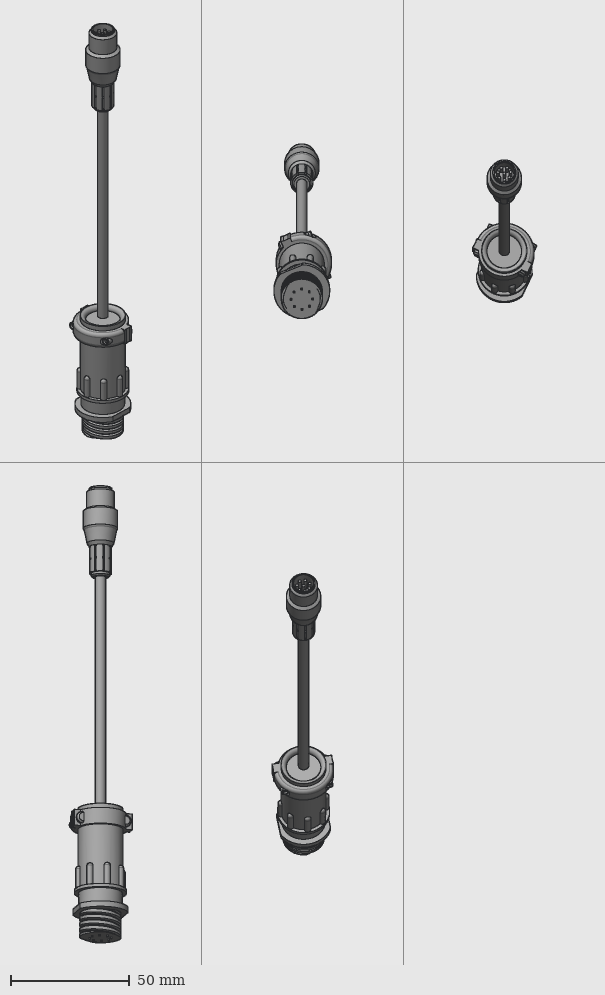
import cadquery as cq
import math

total_height = 196.8
shell_base = 0.5
flange_base = 11.0
flange_top = 13.4
collar_base = 19.9
collar_top = 21.3
rib_top = 31.0
clamp_base = 47.6
clamp_top = 54.5
rim_top = 56.7
well_floor = 54.5
cable_end = 56.3

housing_radius = 9.55
neck_radius = 9.3
collar_radius = 11.0
flange_radius = 11.8
flange_half_width = 10.6
well_radius = 7.3
well_lip_radius = 2.0

thread_radius = 8.75
thread_pitch = 2.46
thread_starts = 2
thread_depth = 1.0
thread_crest_width = 1.4
thread_root_width = 2.2
thread_sink = 0.1
first_thread_angle = 37.0

rib_count = 8
rib_radius = 1.4
rib_top_fillet = 1.28

housing_pin_count = 8
housing_pin_diameter = 0.8
housing_pin_circle = 4.5

clamp_front_radius = 12.5
clamp_back_radius = 10.8
clamp_fillet = 1.5
ear_reach = 12.8
ear_front = -0.2
ear_back = 4.1
ear_gap_front = 0.8
ear_gap_back = 3.0
ear_gap_depth = 0.1
screw_offset = 9.5
screw_height = (clamp_base + clamp_top) / 2
screw_head_diameter = 3.3
screw_head_front = -8.7
screw_socket_diameter = 2.4
screw_socket_depth = 1.0
nut_diameter = 5.1
nut_back = 6.0
nut_chamfer = 0.8

cable_diameter = 4.5

plug_base = 158.0
tip_radius = 5.0
tip_chamfer = 0.2
tip_base = 196.0
sleeve_radius = 6.0
sleeve_chamfer_base = 195.0
sleeve_base = 187.8
grip_radius = 7.3
grip_top = 186.8
grip_base = 179.3
cone_top = 178.5
cone_top_radius = 6.9
cone_base = 172.8
cone_base_radius = 5.7
boot_top = 171.3
boot_radius = 4.7
boot_base = 159.6
boot_end_radius = 4.0
boot_end_step = 0.5

boot_slot_count = 8
boot_slot_width = 0.8
boot_slot_depth = 1.0
boot_slot_spans = [(160.0, 165.5), (166.0, 171.0)]

socket_diameter = 8.5
socket_depth = 7.9
contact_diameter = 1.28
contact_length = 6.0
contact_circle = 2.8
outer_contact_count = 7


def cylinder(radius, base, top):
    """A vertical cylinder on the cable axis."""
    return cq.Workplane("XY").workplane(offset=base).circle(radius).extrude(top - base)


def polar_points(radius, count, first_angle=0.0):
    """Points evenly spaced around the cable axis."""
    angles = [math.radians(first_angle + 360.0 * i / count) for i in range(count)]
    return [(radius * math.cos(a), radius * math.sin(a)) for a in angles]


def y_cylinder(x, z, diameter, front, back):
    """A cylinder lying along Y."""
    return (
        cq.Workplane("XZ", origin=(x, front, z)).circle(diameter / 2).extrude(front - back)
    )


def thread_ridge(start_angle):
    """One left-handed helical ridge of the housing's multi-start thread, sunk a little into the core."""
    lead = thread_pitch * thread_starts
    helix_base = shell_base - lead / 2
    helix_height = flange_base - shell_base + lead
    root_radius = thread_radius - thread_depth - thread_sink
    helix = cq.Wire.makeHelix(lead, helix_height, root_radius, lefthand=True)
    ridge = (
        cq.Workplane("XZ")
        .polyline([
            (root_radius, thread_root_width / 2),
            (thread_radius, thread_crest_width / 2),
            (thread_radius, -thread_crest_width / 2),
            (root_radius, -thread_root_width / 2),
        ])
        .close()
        .sweep(cq.Workplane(helix), isFrenet=True)
        .rotate((0, 0, 0), (0, 0, 1), start_angle)
        .translate((0, 0, helix_base))
    )
    return ridge.intersect(cylinder(flange_radius, shell_base, flange_base))


def threaded_end():
    """Threaded lower end of the housing."""
    end = cylinder(thread_radius - thread_depth, shell_base, flange_base)
    for start in range(thread_starts):
        end = end.union(thread_ridge(first_thread_angle + 360.0 * start / thread_starts))
    return end


def flange():
    """Round flange with two flats across X."""
    flats = cq.Workplane("XY").box(2 * flange_half_width, 2 * flange_radius, 2 * total_height)
    return cylinder(flange_radius, flange_base, flange_top).intersect(flats)


def grip_ribs():
    """Dome-topped round grip ribs, half sunk into the housing."""
    rib = cylinder(rib_radius, collar_base, rib_top).faces(">Z").edges().fillet(rib_top_fillet)
    ribs = cq.Workplane("XY")
    for x, y in polar_points(housing_radius, rib_count):
        ribs = ribs.add(rib.translate((x, y, 0)))
    return ribs.combine()


def cable_clamp():
    """Two-part clamp: a wide front half, a thin back half and screwed ears at +X and -X."""
    front_half_space = cq.Workplane("XY").box(
        4 * ear_reach, 2 * ear_reach, 2 * total_height
    ).translate((0, ear_front - ear_reach, 0))
    clamp = (
        cylinder(clamp_front_radius, clamp_base, clamp_top)
        .edges()
        .fillet(clamp_fillet)
        .intersect(front_half_space)
        .union(cylinder(clamp_back_radius, clamp_base, clamp_top))
    )
    ears = (
        cq.Workplane("XY")
        .box(2 * ear_reach, ear_back - ear_front, clamp_top - clamp_base)
        .translate((0, (ear_front + ear_back) / 2, screw_height))
    )
    clamp = clamp.union(ears)
    for x in (-ear_reach, ear_reach):
        gap = (
            cq.Workplane("XY")
            .box(2 * ear_gap_depth, ear_gap_back - ear_gap_front, 2 * clamp_top)
            .translate((x, (ear_gap_front + ear_gap_back) / 2, screw_height))
        )
        clamp = clamp.cut(gap)
    for x in (-screw_offset, screw_offset):
        nut = y_cylinder(x, screw_height, nut_diameter, ear_front, nut_back)
        clamp = clamp.union(nut.faces(">Y").chamfer(nut_chamfer))
        recess = y_cylinder(x, screw_height, screw_head_diameter, -clamp_front_radius, screw_head_front)
        head = y_cylinder(x, screw_height, screw_head_diameter, screw_head_front, ear_front)
        socket_end = screw_head_front + screw_socket_depth
        socket = y_cylinder(x, screw_height, screw_socket_diameter, screw_head_front, socket_end)
        clamp = clamp.cut(recess).union(head).cut(socket)
    return clamp


def cable_well():
    """Round-lipped well in the top of the housing."""
    lip_outer = well_radius + well_lip_radius
    lip_middle = lip_outer - well_lip_radius * math.sin(math.radians(45))
    lip_middle_z = rim_top - well_lip_radius * (1 - math.cos(math.radians(45)))
    return (
        cq.Workplane("XZ")
        .moveTo(0, well_floor)
        .lineTo(well_radius, well_floor)
        .lineTo(well_radius, rim_top - well_lip_radius)
        .threePointArc((lip_middle, lip_middle_z), (lip_outer, rim_top))
        .lineTo(0, rim_top)
        .close()
        .revolve()
    )


def housing_pins():
    """Contact pins standing out of the housing's lower end."""
    return (
        cq.Workplane("XY")
        .pushPoints(polar_points(housing_pin_circle, housing_pin_count, 180.0 / housing_pin_count))
        .circle(housing_pin_diameter / 2)
        .extrude(flange_base)
    )


def make_housing():
    return (
        threaded_end()
        .union(flange())
        .union(cylinder(neck_radius, flange_base, collar_base))
        .union(cylinder(collar_radius, collar_base, collar_top))
        .union(cylinder(housing_radius, collar_base, rim_top))
        .union(grip_ribs())
        .union(cable_clamp())
        .cut(cable_well())
        .union(housing_pins())
    )


def make_cable():
    return cylinder(cable_diameter / 2, cable_end, plug_base)


def boot_slots():
    """Flexing slots along the plug's strain-relief boot, in two rows."""
    slots = cq.Workplane("XY")
    for base, top in boot_slot_spans:
        for i in range(boot_slot_count):
            slot = (
                cq.Workplane("XY")
                .box(2 * boot_slot_depth, boot_slot_width, top - base)
                .translate((boot_radius, 0, (base + top) / 2))
                .rotate((0, 0, 0), (0, 0, 1), 360.0 * i / boot_slot_count)
            )
            slots = slots.add(slot)
    return slots.combine()


def contacts():
    """Contact pins inside the plug's socket: one in the middle and a ring around it."""
    return (
        cq.Workplane("XY")
        .workplane(offset=total_height - socket_depth)
        .pushPoints([(0, 0)] + polar_points(contact_circle, outer_contact_count, -90.0))
        .circle(contact_diameter / 2)
        .extrude(contact_length)
    )


def make_plug():
    body = (
        cq.Workplane("XZ")
        .polyline([
            (0, plug_base),
            (boot_end_radius - boot_end_step, plug_base),
            (boot_end_radius, plug_base + boot_end_step),
            (boot_end_radius, boot_base),
            (boot_radius, boot_base),
            (boot_radius, boot_top),
            (cone_base_radius, cone_base),
            (cone_top_radius, cone_top),
            (grip_radius, grip_base),
            (grip_radius, grip_top),
            (sleeve_radius, sleeve_base),
            (sleeve_radius, sleeve_chamfer_base),
            (tip_radius, tip_base),
            (tip_radius, total_height - tip_chamfer),
            (tip_radius - tip_chamfer, total_height),
            (0, total_height),
        ])
        .close()
        .revolve()
    )
    socket = cylinder(socket_diameter / 2, total_height - socket_depth, total_height)
    return body.cut(boot_slots()).cut(socket).union(contacts())


housing = make_housing()
cable = make_cable()
plug = make_plug()

result = cq.Compound.makeCompound([housing.val(), cable.val(), plug.val()])